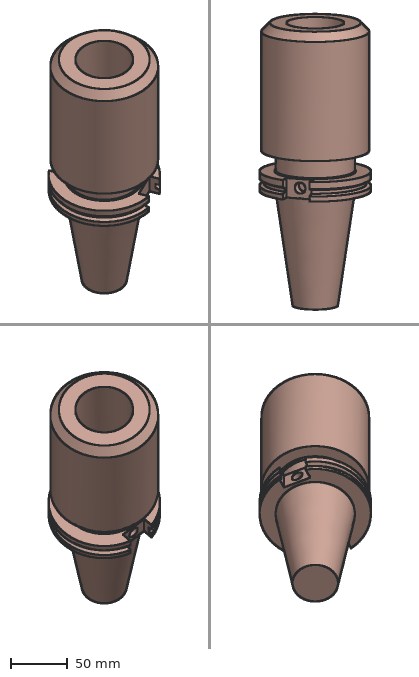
import cadquery as cq

total_height = 254.0
body_diameter = 95.2
body_radius = body_diameter / 2
body_bottom = 139.2
body_chamfer = 7.5
bore_radius = 25.5
bore_depth = 101.5

taper_length = 101.5
taper_top_diameter = 69.8
taper_top_radius = taper_top_diameter / 2
taper_ratio = 7 / 24
taper_bottom_radius = taper_top_radius - taper_length * taper_ratio / 2

neck_radius = 35.0
neck_top_chamfer = 1.5
neck_bottom_chamfer = 0.8

flange_diameter = 98.3
flange_radius = flange_diameter / 2
flange_bottom = taper_length + 1.5
flange_top = taper_length + 19.0
groove_floor_radius = 45.2
groove_bottom = 107.7
groove_top = 114.3
groove_floor_width = 3.3
groove_side_height = (groove_top - groove_bottom - groove_floor_width) / 2

slot_width = 25.5
slot_floor = 37.8
drive_hole_diameter = 10.0
drive_hole_height = 112.5
drive_hole_depth = 10.2


def turned_body():
    """Revolve the half outline, from the small taper end to the top face."""
    return (
        cq.Workplane("XZ")
        .lineTo(taper_bottom_radius, 0)
        .lineTo(taper_top_radius, taper_length)
        .lineTo(taper_top_radius, flange_bottom)
        .lineTo(flange_radius, flange_bottom)
        .lineTo(flange_radius, groove_bottom)
        .lineTo(groove_floor_radius, groove_bottom + groove_side_height)
        .lineTo(groove_floor_radius, groove_top - groove_side_height)
        .lineTo(flange_radius, groove_top)
        .lineTo(flange_radius, flange_top)
        .lineTo(neck_radius + neck_bottom_chamfer, flange_top)
        .lineTo(neck_radius, flange_top + neck_bottom_chamfer)
        .lineTo(neck_radius, body_bottom - neck_top_chamfer)
        .lineTo(neck_radius + neck_top_chamfer, body_bottom)
        .lineTo(body_radius, body_bottom)
        .lineTo(body_radius, total_height - body_chamfer)
        .lineTo(body_radius - body_chamfer, total_height)
        .lineTo(0, total_height)
        .close()
        .revolve(360, (0, 0), (0, 1))
    )


def bore():
    """Blind cylindrical bore, open at the top face."""
    return (
        cq.Workplane("XY", origin=(0, 0, total_height - bore_depth))
        .circle(bore_radius)
        .extrude(bore_depth)
    )


def drive_slot(side):
    """Flat-floored slot through the flange height; side is -1 or +1 along X."""
    slot_depth = flange_radius - slot_floor
    return (
        cq.Workplane("XY", origin=(side * (slot_floor + slot_depth / 2), 0, flange_bottom))
        .rect(slot_depth, slot_width)
        .extrude(flange_top - flange_bottom)
    )


def drive_hole():
    """Blind hole running in the +X direction from the -X slot floor."""
    return (
        cq.Workplane("YZ", origin=(-slot_floor, 0, drive_hole_height))
        .circle(drive_hole_diameter / 2)
        .extrude(drive_hole_depth)
    )


result = turned_body().cut(bore())
for side in (-1, 1):
    result = result.cut(drive_slot(side))
result = result.cut(drive_hole())